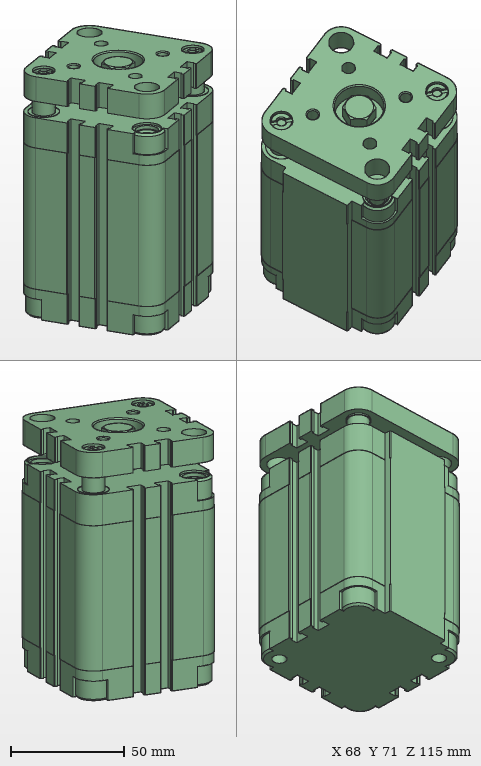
import cadquery as cq
import math

TOTAL_HEIGHT = 115
PLATE_THICKNESS = 11.7
STROKE_GAP = 7.7
CAP_HEIGHT = 14.3
PLATE_BOTTOM = TOTAL_HEIGHT - PLATE_THICKNESS
HOUSING_TOP = PLATE_BOTTOM - STROKE_GAP

TUBE_WIDTH = 68.0
TUBE_HALF = TUBE_WIDTH / 2
CAP_HALF = 33.8
PLATE_HALF = 33.6
CORNER_OFFSET = 25.0

SLOT_OFFSET = 6.8
SLOT_FLOOR = 28.6
SLOT_LIP = 1.8
SLOT_WIDTH = 6.9
MOUTH_WIDTH = 5.4
MOUTH_CHAMFER = 0.3
CUTTER_OVERRUN = 1.2

RAIL_BASE = 34.5
RAIL_TOP = 33.8
RAIL_HEIGHT = 3.0
RAIL_FACE = TUBE_HALF + RAIL_HEIGHT
RAIL_CHAMFER = 0.5

BOSS_DIAMETER = 16.0
BOSS_RIM = 14.0
BOSS_HEIGHT = 9.5
BOSS_CHAMFER = (BOSS_DIAMETER - BOSS_RIM) / 2
RELIEF_START = 22.2
SEAT_DIAMETER = 13.0
SEAT_DEPTH = 0.9
SCREW_BORE = 10.4
SCREW_BORE_DEPTH = 2.5
SCREW_HOLE = 6.7
SCREW_CONE = 8.5

ROD_DIAMETER = 16.0
ROD_FLATS = 13.0
FLATS_BOTTOM = 96.8
GUIDE_DIAMETER = 10.2
GUIDE_COLLAR = 11.0
COLLAR_HEIGHT = 0.8
ROD_INSERTION = CAP_HEIGHT
BUSH_DIAMETER = 14.0
BUSH_RECESS = 0.2
GUIDE_END_DEPTH = 0.8
GUIDE_SEAT = 10.0
GUIDE_TIP = 9.0
GUIDE_CHAMFER = (GUIDE_SEAT - GUIDE_TIP) / 2
GUIDE_BORE = 4.0
GUIDE_BORE_MOUTH = 5.0
GUIDE_BORE_DEPTH = 1.4
DRIVER_SLOT = 2.1
DRIVER_DEPTH = 0.9
DRIVER_ANGLE = 45

CENTRE_BORE = 22.0
CENTRE_BORE_DEPTH = 8
CENTRE_CHAMFER = 0.6
ACCESS_HOLE = 11.0
SMALL_SPACING = 29.8
SMALL_OFFSET = SMALL_SPACING / 2
PIN_HOLE = 6.0
THREAD_HOLE = 5.0
NUT_TOP = 114.1
NUT_FACE = 12.6
NUT_CHAMFER_ANGLE = 30
HEX_SIDES = 6
HEX_HALF_ANGLE = 180 / HEX_SIDES

ROD_CORNERS = [(-CORNER_OFFSET, -CORNER_OFFSET), (CORNER_OFFSET, CORNER_OFFSET)]
SCREW_CORNERS = [(CORNER_OFFSET, -CORNER_OFFSET), (-CORNER_OFFSET, CORNER_OFFSET)]


def cylinder(diameter, bottom, top, points=((0, 0),)):
    start = cq.Workplane().workplane(offset=bottom).pushPoints(points)
    return start.circle(diameter / 2).extrude(top - bottom)


def cone(bottom_diameter, top_diameter, bottom, top, points):
    start = cq.Workplane().workplane(offset=bottom)
    shape = cq.Solid.makeCone(bottom_diameter / 2, top_diameter / 2, top - bottom)
    return start.pushPoints(points).eachpoint(lambda place: shape.moved(place))


def rounded_block(half, bottom, top):
    block = cq.Workplane().workplane(offset=bottom).rect(2 * half, 2 * half).extrude(top - bottom)
    return block.edges("|Z").fillet(half - CORNER_OFFSET)


def slot_cutter(face, bottom, top):
    """T-slot in the -Y side whose mouth edge is chamfered at the given face distance."""
    mouth = MOUTH_WIDTH / 2
    right_side = [
        (SLOT_WIDTH / 2, -SLOT_FLOOR),
        (SLOT_WIDTH / 2, -(TUBE_HALF - SLOT_LIP)),
        (mouth, -(TUBE_HALF - SLOT_LIP)),
        (mouth, -(face - MOUTH_CHAMFER)),
        (mouth + MOUTH_CHAMFER, -face),
        (mouth + MOUTH_CHAMFER, -(face + CUTTER_OVERRUN)),
    ]
    left_side = [(-x, y) for x, y in reversed(right_side)]
    profile = cq.Workplane().workplane(offset=bottom).polyline(right_side + left_side).close()
    return profile.extrude(top - bottom)


def cut_slots(block, face, bottom, top):
    slot = slot_cutter(face, bottom, top)
    for side_angle in (-90, 0, 90):
        for offset in (-SLOT_OFFSET, SLOT_OFFSET):
            block = block.cut(slot.translate((offset, 0, 0)).rotate((0, 0, 0), (0, 0, 1), side_angle))
    return block


def rail(bottom, top):
    """Rail with slightly tapered sides, from the part axis to its outer face."""
    profile = cq.Workplane().workplane(offset=bottom).polyline([
        (-RAIL_BASE / 2, 0),
        (-RAIL_BASE / 2, CAP_HALF),
        (-RAIL_TOP / 2, RAIL_FACE),
        (RAIL_TOP / 2, RAIL_FACE),
        (RAIL_BASE / 2, CAP_HALF),
        (RAIL_BASE / 2, 0),
    ])
    return profile.close().extrude(top - bottom)


def housing_section(half, bottom, top):
    return cut_slots(rounded_block(half, bottom, top), half, bottom, top)


def corner_relief(bottom, chamfered_face):
    """Square corner relief around a chamfered screw boss, for the +X +Y corner."""
    size = 2 * (TUBE_HALF - RELIEF_START)
    block = cq.Workplane().box(size, size, BOSS_HEIGHT, centered=False)
    block = block.translate((RELIEF_START, RELIEF_START, bottom))
    boss = cylinder(BOSS_DIAMETER, bottom, bottom + BOSS_HEIGHT, [(CORNER_OFFSET, CORNER_OFFSET)])
    return block.cut(boss.faces(chamfered_face).chamfer(BOSS_CHAMFER))


def screw_seats():
    """Stepped screw holes through the two corners without guide rods."""
    seat_floor = HOUSING_TOP - SEAT_DEPTH
    bore_floor = HOUSING_TOP - SCREW_BORE_DEPTH
    cone_depth = (SCREW_CONE - SCREW_HOLE) / 2
    seats = cylinder(SCREW_HOLE, 0, HOUSING_TOP, SCREW_CORNERS)
    seats = seats.union(cone(SCREW_HOLE, SCREW_CONE, bore_floor - cone_depth, bore_floor, SCREW_CORNERS))
    seats = seats.union(cylinder(SCREW_BORE, bore_floor, HOUSING_TOP, SCREW_CORNERS))
    return seats.union(cylinder(SEAT_DIAMETER, seat_floor, HOUSING_TOP, SCREW_CORNERS))


def make_housing():
    """Slotted tube with two end caps, the rear rail, corner bosses and all bores."""
    tube_top = HOUSING_TOP - CAP_HEIGHT
    body = housing_section(CAP_HALF, 0, CAP_HEIGHT)
    body = body.union(housing_section(TUBE_HALF, CAP_HEIGHT, tube_top))
    body = body.union(housing_section(CAP_HALF, tube_top, HOUSING_TOP))
    body = body.union(rail(CAP_HEIGHT, tube_top))
    for bottom in (0, tube_top):
        cap_rail = rail(bottom, bottom + CAP_HEIGHT)
        body = body.union(cap_rail.edges("|Z and >Y").chamfer(RAIL_CHAMFER))

    lower_relief = corner_relief(0, "<Z")
    for angle in (0, 90, 180, 270):
        body = body.cut(lower_relief.rotate((0, 0, 0), (0, 0, 1), angle))
    upper_relief = corner_relief(HOUSING_TOP - BOSS_HEIGHT, ">Z")
    for angle in (90, 270):
        body = body.cut(upper_relief.rotate((0, 0, 0), (0, 0, 1), angle))

    rod_end = HOUSING_TOP - ROD_INSERTION
    body = body.cut(screw_seats())
    body = body.cut(cylinder(ROD_DIAMETER, rod_end, HOUSING_TOP))
    body = body.cut(cylinder(GUIDE_DIAMETER, rod_end, HOUSING_TOP, ROD_CORNERS))
    return body.cut(cylinder(BUSH_DIAMETER, HOUSING_TOP - BUSH_RECESS, HOUSING_TOP, ROD_CORNERS))


def plate():
    block = rounded_block(PLATE_HALF, PLATE_BOTTOM, TOTAL_HEIGHT)
    block = cut_slots(block, PLATE_HALF, PLATE_BOTTOM, TOTAL_HEIGHT)
    block = block.cut(cylinder(CENTRE_BORE, TOTAL_HEIGHT - CENTRE_BORE_DEPTH, TOTAL_HEIGHT))
    rim = CENTRE_BORE + 2 * CENTRE_CHAMFER
    block = block.cut(cone(CENTRE_BORE, rim, TOTAL_HEIGHT - CENTRE_CHAMFER, TOTAL_HEIGHT, [(0, 0)]))
    block = block.cut(cylinder(ACCESS_HOLE, PLATE_BOTTOM, TOTAL_HEIGHT, SCREW_CORNERS))

    pin_points = [(SMALL_OFFSET, -SMALL_OFFSET), (-SMALL_OFFSET, SMALL_OFFSET)]
    thread_points = [(SMALL_OFFSET, SMALL_OFFSET), (-SMALL_OFFSET, -SMALL_OFFSET)]
    thread_chamfer = (PIN_HOLE - THREAD_HOLE) / 2
    block = block.cut(cylinder(PIN_HOLE, PLATE_BOTTOM, TOTAL_HEIGHT, pin_points))
    block = block.cut(cylinder(THREAD_HOLE, PLATE_BOTTOM, TOTAL_HEIGHT, thread_points))
    return block.cut(cone(THREAD_HOLE, PIN_HOLE, TOTAL_HEIGHT - thread_chamfer, TOTAL_HEIGHT, thread_points))


def piston_rod():
    bottom = HOUSING_TOP - ROD_INSERTION
    top = TOTAL_HEIGHT - CENTRE_BORE_DEPTH
    rod = cylinder(ROD_DIAMETER, bottom, top)
    flats = cq.Workplane().workplane(offset=FLATS_BOTTOM).rect(ROD_DIAMETER, ROD_FLATS)
    flattened = rod.intersect(flats.extrude(top - FLATS_BOTTOM))
    return cylinder(ROD_DIAMETER, bottom, FLATS_BOTTOM).union(flattened)


def rod_nut():
    bottom = TOTAL_HEIGHT - CENTRE_BORE_DEPTH
    corner_diameter = ROD_FLATS / math.cos(math.radians(HEX_HALF_ANGLE))
    nut = cq.Workplane().workplane(offset=bottom).polygon(HEX_SIDES, corner_diameter).extrude(NUT_TOP - bottom)
    nut = nut.rotate((0, 0, 0), (0, 0, 1), HEX_HALF_ANGLE)
    chamfer_width = (corner_diameter - NUT_FACE) / 2
    chamfer_height = chamfer_width * math.tan(math.radians(NUT_CHAMFER_ANGLE))
    envelope = cylinder(corner_diameter, bottom, NUT_TOP).faces(">Z").chamfer(chamfer_height, chamfer_width)
    return nut.intersect(envelope)


def guide_rod():
    """One guide rod on the Z axis, with its collar under the plate."""
    bottom = HOUSING_TOP - ROD_INSERTION
    top = TOTAL_HEIGHT - GUIDE_END_DEPTH
    rod = cylinder(GUIDE_SEAT, PLATE_BOTTOM, top).faces(">Z").chamfer(GUIDE_CHAMFER)
    slot = cq.Workplane().workplane(offset=top - DRIVER_DEPTH).rect(GUIDE_SEAT, DRIVER_SLOT)
    slot = slot.extrude(DRIVER_DEPTH).rotate((0, 0, 0), (0, 0, 1), DRIVER_ANGLE)
    rod = rod.cut(slot).cut(cylinder(GUIDE_BORE, top - GUIDE_BORE_DEPTH, top))
    mouth_depth = (GUIDE_BORE_MOUTH - GUIDE_BORE) / 2
    rod = rod.cut(cone(GUIDE_BORE, GUIDE_BORE_MOUTH, top - mouth_depth, top, [(0, 0)]))
    rod = rod.union(cylinder(GUIDE_DIAMETER, bottom, PLATE_BOTTOM))
    return rod.union(cylinder(GUIDE_COLLAR, PLATE_BOTTOM - COLLAR_HEIGHT, PLATE_BOTTOM))


def make_slide():
    """Moving plate with the piston rod, its nut and two guide rods."""
    body = plate().cut(cylinder(GUIDE_SEAT, PLATE_BOTTOM, TOTAL_HEIGHT, ROD_CORNERS))
    body = body.union(piston_rod()).union(rod_nut())
    for x, y in ROD_CORNERS:
        body = body.union(guide_rod().translate((x, y, 0)))
    return body


housing = make_housing()
slide = make_slide()
result = cq.Compound.makeCompound([housing.val(), slide.val()])